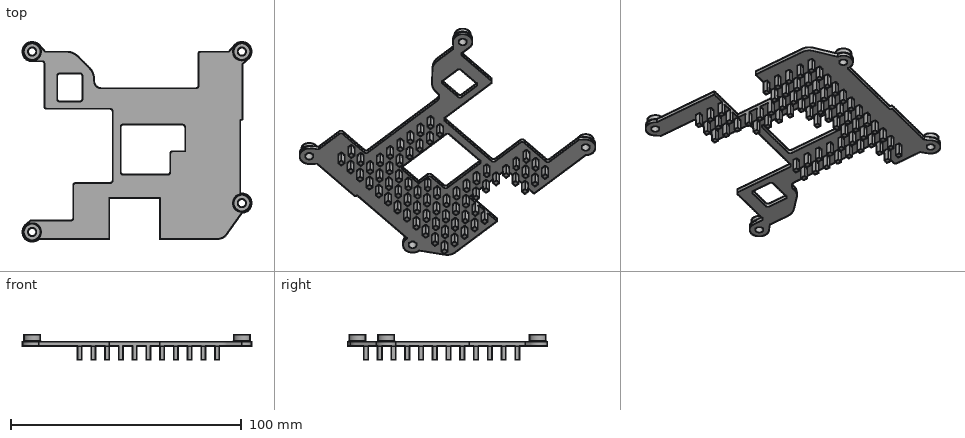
import cadquery as cq
import math

PLATE_THICKNESS = 2.0
BOSS_HEIGHT = 3.0
PIN_LENGTH = 6.0
FLANGE_DIAMETER = 8.5
BOSS_DIAMETER = 7.2
BOSS_BASE_CHAMFER = 0.3
SCREW_HOLE_DIAMETER = 3.5
OVERALL_X = 99.4
OVERALL_Y = 86.7

BOSS_RIGHT_X = OVERALL_X - FLANGE_DIAMETER
BOSS_BACK_Y = OVERALL_Y - FLANGE_DIAMETER
BOSS_RIGHT_FRONT_Y = 12.5
BOSSES = [
    (0, 0),
    (0, BOSS_BACK_Y),
    (BOSS_RIGHT_X, BOSS_BACK_Y),
    (BOSS_RIGHT_X, BOSS_RIGHT_FRONT_Y),
]

FLANGE_RADIUS = FLANGE_DIAMETER / 2

FRONT_SLANT_X = -0.6
BACK_SLANT_REACH = 5.7
RIGHT_SLANT_REACH = 5.4

PIN_SIDE = 2.0
PIN_PITCH = 6.0
PIN_COLUMNS = 11
PIN_ROWS = 12
FIRST_PIN_X = 20.6
FIRST_PIN_Y = 3.8

NOTCH_LEFT_X = FIRST_PIN_X + 2 * PIN_PITCH + PIN_SIDE / 2
NOTCH_RIGHT_X = FIRST_PIN_X + 6 * PIN_PITCH - PIN_SIDE / 2
NOTCH_BACK_Y = FIRST_PIN_Y + 2 * PIN_PITCH - PIN_SIDE / 2

FRONT_Y = -3.1
FRONT_ARM_BACK_Y = 5.1
FRONT_ARM_MEET_X = 2.0
FRONT_BLOCK_LEFT_X = 17.8
FRONT_BLOCK_BACK_Y = 21.3
WAIST_LEFT_X = 34.9
BACK_BLOCK_LEFT_X = 5.3
BACK_BLOCK_FRONT_Y = 53.4
BACK_BLOCK_RIGHT_X = 26.9
BACK_BLOCK_CHAMFER = 9.1
RECESS_Y = 62.4
RIGHT_ARM_LEFT_X = 72.1
RIGHT_UPPER_X = 91.3
RIGHT_LOWER_X = 90.3
RIGHT_STEP_Y = 48.6
SLANT_TOP = (91.3, 8.7)
SLANT_BOTTOM_X = 82.9

CORNER_RADIUS = 1.0
WAIST_RADIUS = 1.2
STEP_RADIUS = 0.4
SLANT_RADIUS = 5.0
CHAMFER_RADIUS = 7.0
RECESS_RADIUS = 3.0

SMALL_WINDOW_X = (10.9, 21.8)
SMALL_WINDOW_Y = (56.7, 68.7)
LARGE_WINDOW_X = (38.5, 66.3)
LARGE_WINDOW_Y = (25.0, 46.5)
LARGE_WINDOW_STEP = (59.9, 35.1)


def rounded_outline(corners):
    """Closed wire through (x, y, radius) corners, each rounded by a tangent arc; radius 0 is sharp."""
    path = []
    for index, (x, y, radius) in enumerate(corners):
        corner = cq.Vector(x, y)
        before = (cq.Vector(*corners[index - 1][:2]) - corner).normalized()
        after = (cq.Vector(*corners[(index + 1) % len(corners)][:2]) - corner).normalized()
        half_angle = before.getAngle(after) / 2
        setback = radius / math.tan(half_angle)
        bisector = (before + after).normalized()
        middle = corner + bisector * (radius / math.sin(half_angle) - radius)
        path.append((corner + before * setback, middle, corner + after * setback, radius))

    outline = cq.Workplane("XY").moveTo(*path[0][2].toTuple()[:2])
    for start, middle, end, radius in path[1:] + path[:1]:
        outline = outline.lineTo(start.x, start.y)
        if radius:
            outline = outline.threePointArc((middle.x, middle.y), (end.x, end.y))
    return outline.close()


def tangent_foot(boss, corner, side):
    """Point where a line from the corner touches the boss flange; side 1 is counterclockwise."""
    x, y = boss
    corner_x, corner_y = corner
    distance = math.hypot(corner_x - x, corner_y - y)
    angle = math.atan2(corner_y - y, corner_x - x) + side * math.acos(FLANGE_RADIUS / distance)
    return x + FLANGE_RADIUS * math.cos(angle), y + FLANGE_RADIUS * math.sin(angle)


def plate_blank():
    """Plate outline; inside the boss flanges it takes short cuts that the flanges cover."""
    front_left, back_left, back_right, _ = BOSSES
    front_slant = (FRONT_SLANT_X, FRONT_ARM_BACK_Y)
    back_left_slant = (BACK_SLANT_REACH, BOSS_BACK_Y)
    back_right_slant = (BOSS_RIGHT_X - BACK_SLANT_REACH, BOSS_BACK_Y)
    right_slant = (RIGHT_UPPER_X, BOSS_BACK_Y - RIGHT_SLANT_REACH)
    corners = [
        (FRONT_ARM_MEET_X, FRONT_Y, 0),
        (0, 0, 0),
        (*tangent_foot(front_left, front_slant, 1), 0),
        (*front_slant, 0),
        (FRONT_BLOCK_LEFT_X, FRONT_ARM_BACK_Y, CORNER_RADIUS),
        (FRONT_BLOCK_LEFT_X, FRONT_BLOCK_BACK_Y, CORNER_RADIUS),
        (WAIST_LEFT_X, FRONT_BLOCK_BACK_Y, WAIST_RADIUS),
        (WAIST_LEFT_X, BACK_BLOCK_FRONT_Y, WAIST_RADIUS),
        (BACK_BLOCK_LEFT_X, BACK_BLOCK_FRONT_Y, CORNER_RADIUS),
        (BACK_BLOCK_LEFT_X, BOSS_BACK_Y - FLANGE_RADIUS, CORNER_RADIUS),
        (0, BOSS_BACK_Y - FLANGE_RADIUS, 0),
        (0, BOSS_BACK_Y, 0),
        (*tangent_foot(back_left, back_left_slant, 1), 0),
        (*back_left_slant, 0),
        (BACK_BLOCK_RIGHT_X - BACK_BLOCK_CHAMFER, BOSS_BACK_Y, CHAMFER_RADIUS),
        (BACK_BLOCK_RIGHT_X, BOSS_BACK_Y - BACK_BLOCK_CHAMFER, CHAMFER_RADIUS),
        (BACK_BLOCK_RIGHT_X, RECESS_Y, RECESS_RADIUS),
        (RIGHT_ARM_LEFT_X, RECESS_Y, CORNER_RADIUS),
        (RIGHT_ARM_LEFT_X, BOSS_BACK_Y, CORNER_RADIUS),
        (*back_right_slant, 0),
        (*tangent_foot(back_right, back_right_slant, -1), 0),
        (*tangent_foot(back_right, right_slant, 1), 0),
        (*right_slant, 0),
        (RIGHT_UPPER_X, RIGHT_STEP_Y, STEP_RADIUS),
        (RIGHT_LOWER_X, RIGHT_STEP_Y, STEP_RADIUS),
        (RIGHT_LOWER_X, BOSS_RIGHT_FRONT_Y, 0),
        (*SLANT_TOP, 0),
        (SLANT_BOTTOM_X, FRONT_Y, SLANT_RADIUS),
        (NOTCH_RIGHT_X, FRONT_Y, 0),
        (NOTCH_RIGHT_X, NOTCH_BACK_Y, 0),
        (NOTCH_LEFT_X, NOTCH_BACK_Y, 0),
        (NOTCH_LEFT_X, FRONT_Y, 0),
    ]
    return rounded_outline(corners).extrude(PLATE_THICKNESS)


def small_window():
    """Rectangular window with rounded corners in the back-left block."""
    left, right = SMALL_WINDOW_X
    front, back = SMALL_WINDOW_Y
    corners = [(left, front), (right, front), (right, back), (left, back)]
    return rounded_outline([(x, y, CORNER_RADIUS) for x, y in corners]).extrude(PLATE_THICKNESS)


def large_window():
    """Rectangle whose front-right corner stays filled; the corner right of that step is sharp."""
    left, right = LARGE_WINDOW_X
    front, back = LARGE_WINDOW_Y
    step_x, step_y = LARGE_WINDOW_STEP
    corners = [
        (left, front, CORNER_RADIUS),
        (step_x, front, CORNER_RADIUS),
        (step_x, step_y, WAIST_RADIUS),
        (right, step_y, 0),
        (right, back, WAIST_RADIUS),
        (left, back, CORNER_RADIUS),
    ]
    return rounded_outline(corners).extrude(PLATE_THICKNESS)


def cylinders(diameter, height):
    """Upright cylinders on all boss axes, rising from the level of the plate's underside."""
    return cq.Workplane("XY").pushPoints(BOSSES).circle(diameter / 2).extrude(height)


def carries_pin(plate, x, y):
    """True where a pin's whole top face lies on the plate, except on the bare back-left block."""
    if x < WAIST_LEFT_X and y > BACK_BLOCK_FRONT_Y:
        return False
    column = cq.Workplane("XY").center(x, y).rect(PIN_SIDE, PIN_SIDE).extrude(PLATE_THICKNESS)
    return column.cut(plate).solids().size() == 0


def pins(plate):
    """Square pins hanging from the underside at every grid place that carries one."""
    columns = [FIRST_PIN_X + index * PIN_PITCH for index in range(PIN_COLUMNS)]
    rows = [FIRST_PIN_Y + index * PIN_PITCH for index in range(PIN_ROWS)]
    places = [(x, y) for x in columns for y in rows if carries_pin(plate, x, y)]
    return cq.Workplane("XY").pushPoints(places).rect(PIN_SIDE, PIN_SIDE).extrude(-PIN_LENGTH)


def bosses():
    """Round bosses on the plate's top, each flared at its base by a small chamfer."""
    radius = BOSS_DIAMETER / 2
    flare_radius = radius + BOSS_BASE_CHAMFER
    top = PLATE_THICKNESS + BOSS_HEIGHT
    boss = (
        cq.Workplane("XZ")
        .lineTo(flare_radius, 0)
        .lineTo(flare_radius, PLATE_THICKNESS)
        .lineTo(radius, PLATE_THICKNESS + BOSS_BASE_CHAMFER)
        .lineTo(radius, top)
        .lineTo(0, top)
        .close()
        .revolve(360, (0, 0), (0, 1))
    )
    return cq.Workplane("XY").pushPoints(BOSSES).eachpoint(boss.val(), combine="a")


plate = plate_blank().cut(small_window()).cut(large_window())
plate = plate.union(cylinders(FLANGE_DIAMETER, PLATE_THICKNESS))
body = plate.union(bosses()).union(pins(plate))
result = body.cut(cylinders(SCREW_HOLE_DIAMETER, PLATE_THICKNESS + BOSS_HEIGHT))